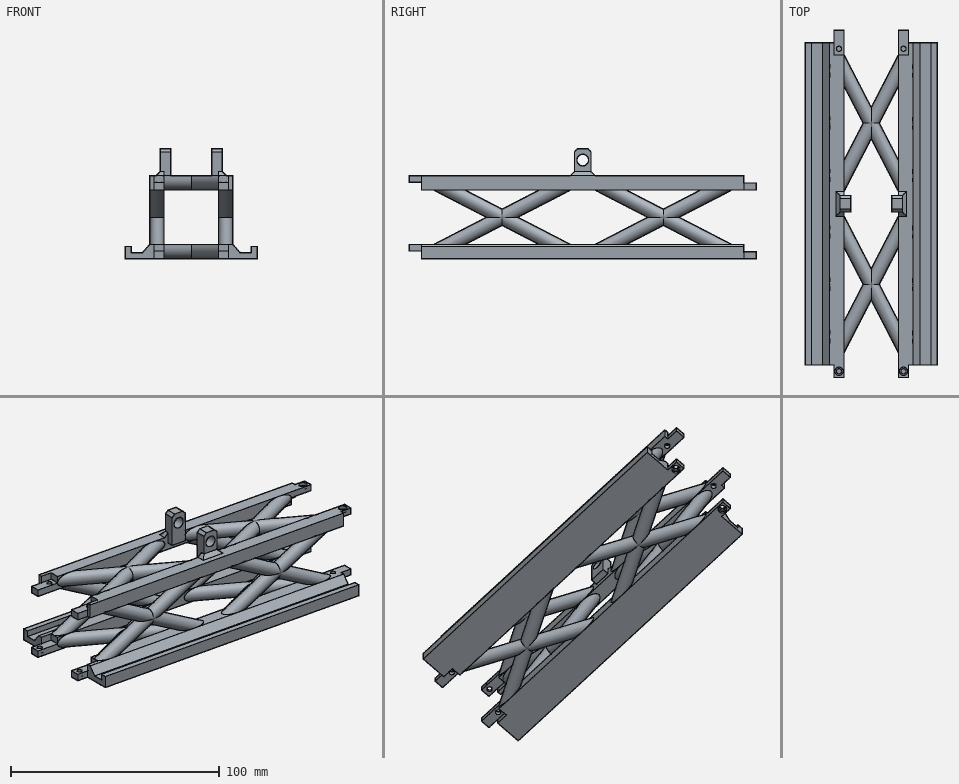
import cadquery as cq

rail_length = 155.0
truss_size = 40.0
rail_size = 7.0
rail_offset = (truss_size - rail_size) / 2
rail_inner = rail_offset - rail_size / 2
rail_outer = rail_offset + rail_size / 2
rail_levels = (rail_size / 2, truss_size - rail_size / 2)

lap_length = 6.0
lap_width = 5.0
front_lap_thickness = 3.25
back_lap_thickness = 3.5
bolt_diameter = 2.5
head_diameter = 4.0
head_depth = 1.5
lap_center = lap_length / 2

brace_diameter = 7.0
bay_length = rail_length / 2
brace_half_run = rail_offset * bay_length / truss_size
crossing_positions = (-bay_length / 2, bay_length / 2)

channel_half_width = 31.75
channel_floor = 3.0
channel_lip_height = 6.0
channel_lip_width = 3.0
channel_slope_run = 3.5

hanger_outer_x = 15.0
hanger_thickness = 5.25
hanger_width = 8.0
hanger_top = 53.0
hanger_bevel = 1.5
hanger_hole_diameter = 5.5
hanger_bottom = truss_size - rail_size / 2
hanger_hole_height = 47.5
foot_spread = 2.0
foot_slope = 45.0


def box(x_range, y_range, z_range):
    """Axis-aligned box between the given limits."""
    size = [high - low for low, high in (x_range, y_range, z_range)]
    corner = (x_range[0], y_range[0], z_range[0])
    return cq.Workplane("XY").box(*size, centered=False).translate(corner)


def disc(center_x, center_y, diameter, z_range):
    """Upright cylinder between two heights."""
    base = cq.Workplane("XY", origin=(center_x, center_y, z_range[0]))
    return base.circle(diameter / 2).extrude(z_range[1] - z_range[0])


def both_sides(right_half):
    """Join a body with its mirror image across the YZ plane."""
    return right_half.union(right_half.mirror("YZ"))


def rod(start, end):
    """Round bar between two points."""
    direction = cq.Vector(*end) - cq.Vector(*start)
    radius = brace_diameter / 2
    return cq.Workplane(cq.Solid.makeCylinder(radius, direction.Length, cq.Vector(*start), direction))


def make_rail(level):
    half_length = rail_length / 2
    bottom = level - rail_size / 2
    top = level + rail_size / 2
    return box((rail_inner, rail_outer), (-half_length, half_length), (bottom, top))


def make_channel():
    half_length = rail_length / 2
    lip_inner = channel_half_width - channel_lip_width
    profile = [
        (rail_outer, 0),
        (channel_half_width, 0),
        (channel_half_width, channel_lip_height),
        (lip_inner, channel_lip_height),
        (lip_inner, channel_floor),
        (rail_outer + channel_slope_run, channel_floor),
        (rail_outer, rail_size),
    ]
    return cq.Workplane("XZ").polyline(profile).close().extrude(half_length, both=True)


def make_braces():
    braces = None
    for crossing in crossing_positions:
        for lean in (-1, 1):
            start_y = crossing - lean * brace_half_run
            end_y = crossing + lean * brace_half_run
            low, high = rail_levels
            bars = [rod((-rail_offset, start_y, z), (rail_offset, end_y, z)) for z in rail_levels]
            bars += [rod((x, start_y, low), (x, end_y, high)) for x in (-rail_offset, rail_offset)]
            for bar in bars:
                braces = bar if braces is None else braces.union(bar)
    return braces


def make_hanger():
    inner_x = hanger_outer_x - hanger_thickness
    half_width = hanger_width / 2
    plate = box((inner_x, hanger_outer_x), (-half_width, half_width), (hanger_bottom, hanger_top))
    plate = plate.faces(">Z").edges("|X").chamfer(hanger_bevel)
    foot_reach = hanger_outer_x + foot_spread - rail_inner
    foot_length = hanger_width + 2 * foot_spread
    pyramid = (
        cq.Workplane("XY", origin=(rail_inner, 0, truss_size))
        .rect(2 * foot_reach, foot_length)
        .extrude(foot_spread, taper=foot_slope)
    )
    inner_half = box((0, rail_inner), (-foot_length, foot_length), (0, hanger_top))
    foot = pyramid.cut(inner_half)
    hole = (
        cq.Workplane("YZ", origin=(0, 0, hanger_hole_height))
        .circle(hanger_hole_diameter / 2)
        .extrude(truss_size)
    )
    return plate.union(foot).cut(hole)


def lap_limits(level):
    """Limits shared by the half-laps of the right-hand rail at this level."""
    x_range = (rail_inner, rail_inner + lap_width)
    bottom = level - rail_size / 2
    top = level + rail_size / 2
    return x_range, bottom, top, top - front_lap_thickness, bottom + back_lap_thickness


def make_notches(level):
    """Cutters under the front end and over the back end of the rails at this level."""
    end = rail_length / 2
    x_range, bottom, top, front_step, back_step = lap_limits(level)
    front = box(x_range, (-end, -end + lap_length), (bottom, front_step))
    back = box(x_range, (end - lap_length, end), (back_step, top))
    return both_sides(front.union(back))


def make_tongues(level):
    """Tongues beyond both ends of the rails at this level."""
    end = rail_length / 2
    x_range, bottom, top, front_step, back_step = lap_limits(level)
    front = box(x_range, (-end - lap_length, -end), (front_step, top))
    back = box(x_range, (end, end + lap_length), (bottom, back_step))
    return both_sides(front.union(back))


def drill_bolts(body):
    """Bolt holes, with heads sunk into the upper front and lower back tongues."""
    end = rail_length / 2
    lap_x = rail_inner + lap_width / 2
    upper = (truss_size - rail_size, truss_size)
    lower = (0, rail_size)
    upper_head = (truss_size - head_depth, truss_size)
    lower_head = (0, head_depth)
    for x in (-lap_x, lap_x):
        body = body.cut(disc(x, -end - lap_center, bolt_diameter, upper))
        body = body.cut(disc(x, -end - lap_center, head_diameter, upper_head))
        body = body.cut(disc(x, end - lap_center, bolt_diameter, upper))
        body = body.cut(disc(x, -end + lap_center, bolt_diameter, lower))
        body = body.cut(disc(x, end + lap_center, bolt_diameter, lower))
        body = body.cut(disc(x, end + lap_center, head_diameter, lower_head))
    return body


frame = both_sides(make_channel())
for rail_level in rail_levels:
    frame = frame.union(both_sides(make_rail(rail_level)))
frame = frame.union(both_sides(make_hanger()))
braces = make_braces()
for rail_level in rail_levels:
    notches = make_notches(rail_level)
    frame = frame.cut(notches).union(make_tongues(rail_level))
    braces = braces.cut(notches)

result = drill_bolts(frame.union(braces))